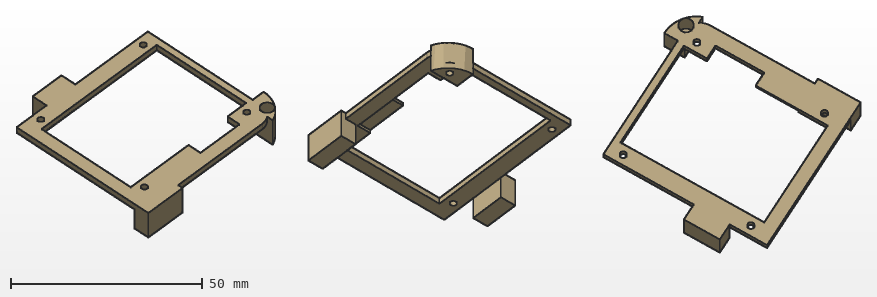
import cadquery as cq

total_height = 8.85
plate_thickness = 2.0
plate_bottom = total_height - plate_thickness

frame_width = 45.8
frame_depth = 50.0
frame_corner_radius = 5.0

window_left = 5.2
window_right = 37.3
window_front = 4.0
window_back = 47.9

notch_right = 41.6
notch_front = 26.0
notch_back = 40.85

left_leg_length = 5.0
left_leg_front = 11.4
left_leg_back = 22.4

right_leg_length = 5.0
right_leg_overhang = 1.6
right_leg_right = frame_width + right_leg_overhang
right_leg_left = right_leg_right - right_leg_length
right_leg_back = 13.05

rear_leg_left = 37.7
rear_leg_front = window_back
rear_leg_back = 54.15
rear_leg_radius = 9.9

lug_thickness = 1.0

hole_diameter = 1.9
plate_hole_xs = (2.6, 39.85)
plate_hole_ys = (6.5, 45.5)
leg_hole_x = 42.55
leg_hole_y = 50.4
counterbore_diameter = 4.0
counterbore_floor = 2.0


def block(x_min, x_max, y_min, y_max, z_min=0.0, z_max=total_height):
    """Axis-aligned box given by its limits."""
    return cq.Workplane("XY").box(
        x_max - x_min, y_max - y_min, z_max - z_min, centered=False
    ).translate((x_min, y_min, z_min))


def make_plate():
    """Flat frame with a rounded rear right corner and a notched window."""
    plate = block(0, frame_width, 0, frame_depth, plate_bottom)
    plate = plate.edges("|Z and >X and >Y").fillet(frame_corner_radius)
    plate = plate.cut(block(window_left, window_right, window_front, window_back))
    return plate.cut(block(window_right, notch_right, notch_front, notch_back))


def make_rear_leg():
    """Disc trimmed by flat faces on its left and front."""
    disc_center_y = rear_leg_back - rear_leg_radius
    disc = (
        cq.Workplane("XY")
        .center(rear_leg_left, disc_center_y)
        .circle(rear_leg_radius)
        .extrude(total_height)
    )
    trim = block(
        rear_leg_left, rear_leg_left + rear_leg_radius, rear_leg_front, rear_leg_back
    )
    return disc.intersect(trim)


def thin_lug(body):
    """Relieve the underside of the lug between the right leg and the notch."""
    lug_bottom = total_height - lug_thickness
    relief = block(window_right, notch_right, right_leg_back, notch_front, 0, lug_bottom)
    return body.cut(relief)


def drill_holes(body):
    """Four plate holes and the deep counterbored hole in the rear leg."""
    centers = [(x, y) for x in plate_hole_xs for y in plate_hole_ys]
    centers.append((leg_hole_x, leg_hole_y))
    holes = (
        cq.Workplane("XY").pushPoints(centers).circle(hole_diameter / 2).extrude(total_height)
    )
    counterbore = (
        cq.Workplane("XY", origin=(leg_hole_x, leg_hole_y, counterbore_floor))
        .circle(counterbore_diameter / 2)
        .extrude(total_height - counterbore_floor)
    )
    return body.cut(holes).cut(counterbore)


left_leg = block(-left_leg_length, 0, left_leg_front, left_leg_back)
right_leg = block(right_leg_left, right_leg_right, 0, right_leg_back)

body = make_plate().union(left_leg).union(right_leg).union(make_rear_leg())
result = drill_holes(thin_lug(body))